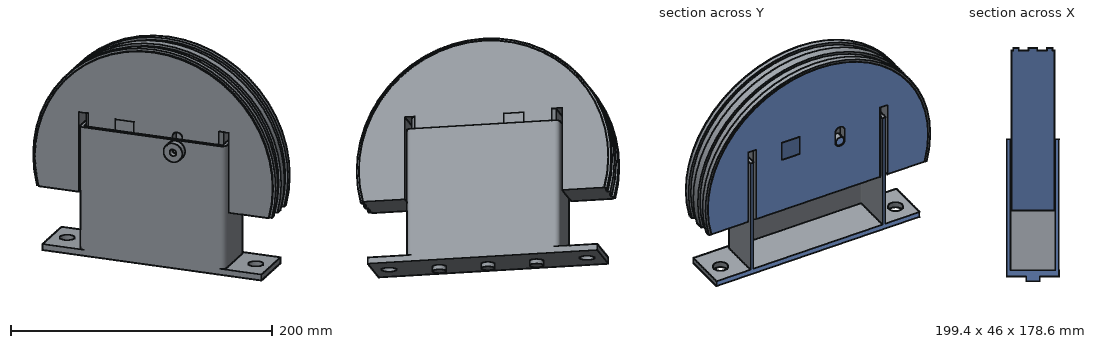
import cadquery as cq


BASE_LENGTH = 180.0
BASE_WIDTH = 40.0
BASE_THICKNESS = 5.0
TUBE_LENGTH = 120.0
TUBE_WIDTH = BASE_WIDTH
TUBE_HEIGHT = 100.3
TUBE_WALL = 3.0
TUBE_CORNER_RADIUS = 3.8
MOUNTING_HOLE_DIAMETER = 11.5
MOUNTING_HOLE_SPACING = 155.0
MOUNTING_HOLE_COUNT = 2
STUD_DIAMETER = 10.5
STUD_HEIGHT = 3.5
STUD_PITCH = 38.0
STUD_COUNT = 3

WHEEL_RADIUS = 99.7
WHEEL_CENTRE_Z = 75.4
WHEEL_BOTTOM_Z = 50.5
WHEEL_WIDTH = 33.0
GROOVE_DEPTH = 2.0
CENTRE_RIDGE_WIDTH = 6.8
OUTER_RIDGE_WIDTH = 4.4
RIDGE_SPAN = 30.1
WALL_SLOT_TOP_Z = 115.8
WALL_SLOT_OUTER_X = 61.5
CORE_HALF_LENGTH = 56.6
CORE_CHAMFER = 3.0

SCREW_X = 19.5
SCREW_Z = 97.0
HEAD_DIAMETER = 15.3
HEAD_HEIGHT = 6.0
SHANK_DIAMETER = 7.5
SOCKET_DIAMETER = 5.4
SOCKET_DEPTH = HEAD_HEIGHT
SLOT_WIDTH = 8.2
SLOT_DEPTH = 8.0
SLOT_TRAVEL = 9.2
SCREW_END_GAP = 1.0

BLOCK_SIZE = 15.5
BLOCK_X = -24.0
BLOCK_TOP_Z = 114.0

FRONT_Y = -BASE_WIDTH / 2
WHEEL_FRONT_Y = -WHEEL_WIDTH / 2
BLOCK_CENTRE_Z = BLOCK_TOP_Z - BLOCK_SIZE / 2


def box(length, width, height, bottom_z):
    """Box centred on the Z axis, standing on bottom_z."""
    return cq.Workplane("XY", origin=(0, 0, bottom_z)).rect(length, width).extrude(height)


def front_plane(x, y, z):
    """Sketch plane at the given point, with extrusion running toward -Y."""
    return cq.Workplane("XZ", origin=(x, y, z))


def make_bracket():
    base = box(BASE_LENGTH, BASE_WIDTH, BASE_THICKNESS, 0)

    tube = box(TUBE_LENGTH, TUBE_WIDTH, TUBE_HEIGHT, BASE_THICKNESS)
    tube = tube.edges("|Z").fillet(TUBE_CORNER_RADIUS)
    bore = box(TUBE_LENGTH - 2 * TUBE_WALL, TUBE_WIDTH - 2 * TUBE_WALL, TUBE_HEIGHT, BASE_THICKNESS)
    bore = bore.edges("|Z").fillet(TUBE_CORNER_RADIUS - TUBE_WALL)

    mounting_holes = (
        cq.Workplane("XY")
        .rarray(MOUNTING_HOLE_SPACING, 2, MOUNTING_HOLE_COUNT, 1)
        .circle(MOUNTING_HOLE_DIAMETER / 2)
        .extrude(BASE_THICKNESS)
    )
    studs = (
        cq.Workplane("XY")
        .rarray(STUD_PITCH, 2, STUD_COUNT, 1)
        .circle(STUD_DIAMETER / 2)
        .extrude(-STUD_HEIGHT)
    )
    screw_hole = (
        front_plane(SCREW_X, FRONT_Y + TUBE_WALL, SCREW_Z)
        .circle(SHANK_DIAMETER / 2)
        .extrude(TUBE_WALL)
    )
    return base.union(tube.cut(bore)).cut(mounting_holes).union(studs).cut(screw_hole)


def disc(radius, width, centre_y=0):
    """Disc on the wheel axis, centred on centre_y."""
    return front_plane(0, centre_y, WHEEL_CENTRE_Z).circle(radius).extrude(width / 2, both=True)


def make_wheel():
    outer_ridge_y = (RIDGE_SPAN - OUTER_RIDGE_WIDTH) / 2
    wheel = disc(WHEEL_RADIUS - GROOVE_DEPTH, WHEEL_WIDTH)
    wheel = wheel.union(disc(WHEEL_RADIUS, CENTRE_RIDGE_WIDTH))
    for ridge_y in (-outer_ridge_y, outer_ridge_y):
        wheel = wheel.union(disc(WHEEL_RADIUS, OUTER_RIDGE_WIDTH, ridge_y))

    lower_part = box(2 * WHEEL_RADIUS, WHEEL_WIDTH, WHEEL_RADIUS, WHEEL_BOTTOM_Z - WHEEL_RADIUS)
    wheel = wheel.cut(lower_part)

    slot_height = WALL_SLOT_TOP_Z - WHEEL_BOTTOM_Z
    core = box(2 * CORE_HALF_LENGTH, WHEEL_WIDTH, slot_height, WHEEL_BOTTOM_Z)
    core = core.edges("|Z").chamfer(CORE_CHAMFER)
    wall_slots = box(2 * WALL_SLOT_OUTER_X, WHEEL_WIDTH, slot_height, WHEEL_BOTTOM_Z).cut(core)
    wheel = wheel.cut(wall_slots)

    screw_slot = (
        front_plane(SCREW_X, WHEEL_FRONT_Y, SCREW_Z + SLOT_TRAVEL / 2)
        .slot2D(SLOT_TRAVEL + SLOT_WIDTH, SLOT_WIDTH, 90)
        .extrude(-SLOT_DEPTH)
    )
    return wheel.cut(screw_slot).cut(make_block())


def make_block():
    return (
        front_plane(BLOCK_X, 0, BLOCK_CENTRE_Z)
        .rect(BLOCK_SIZE, BLOCK_SIZE)
        .extrude(WHEEL_WIDTH / 2, both=True)
    )


def make_screw():
    shank_length = WHEEL_FRONT_Y + SLOT_DEPTH - SCREW_END_GAP - FRONT_Y
    head = front_plane(SCREW_X, FRONT_Y, SCREW_Z).circle(HEAD_DIAMETER / 2).extrude(HEAD_HEIGHT)
    shank = front_plane(SCREW_X, FRONT_Y, SCREW_Z).circle(SHANK_DIAMETER / 2).extrude(-shank_length)
    socket = (
        front_plane(SCREW_X, FRONT_Y - HEAD_HEIGHT, SCREW_Z)
        .circle(SOCKET_DIAMETER / 2)
        .extrude(-SOCKET_DEPTH)
    )
    return head.union(shank).cut(socket)


bracket = make_bracket()
wheel = make_wheel()
block = make_block()
screw = make_screw()

result = cq.Compound.makeCompound([bracket.val(), wheel.val(), block.val(), screw.val()])